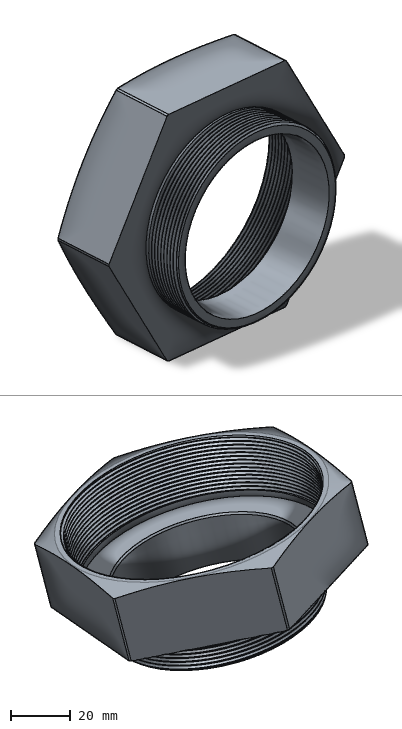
import cadquery as cq
import math

across_flats = 95.0
across_corners = 109.2
head_length = 27.1
total_length = 42.0
corner_chamfer_length = 2.2
chamfer_start_radius = 47.3

bore_radius = 66.8 / 2
bore_chamfer = 0.7
socket_depth = 23.3
socket_plain_radius = 88.0 / 2
socket_minor_radius = 44.5
socket_plain_length = 2.3

pitch = 1.5
thread_depth = 0.9
mouth_clearance = 0.05
crest_flat = 0.16
root_flat = 0.2
spigot_radius = 75.0 / 2
collar_length = 0.1
socket_major_radius = socket_minor_radius + thread_depth
socket_mouth_radius = socket_major_radius + mouth_clearance
socket_thread_length = socket_depth - socket_plain_length
spigot_chamfer = 1.0

socket_wall_outer_radius = 46.4
spigot_wall_inner_radius = 35.0

overshoot = 0.1


def revolve_about_x(points):
    """Revolve a closed (x, radius) outline about the X axis."""
    return cq.Workplane("XY").polyline(points).close().revolve(360, (0, 0, 0), (1, 0, 0))


def make_head():
    """Hexagon with lightly turned corners and a conical chamfer on the open face."""
    hexagon_diameter = across_flats / math.cos(math.pi / 6)
    hexagon = cq.Workplane("YZ").polygon(6, hexagon_diameter).extrude(head_length)
    turned_envelope = revolve_about_x([
        (0, 0),
        (0, chamfer_start_radius),
        (corner_chamfer_length, across_corners / 2),
        (head_length, across_corners / 2),
        (head_length, 0),
    ])
    return hexagon.intersect(turned_envelope)


def make_thread_groove(crest_radius, root_radius, start, length):
    """Helical V groove narrowing from the crest radius to the root radius."""
    outward = math.copysign(1, crest_radius - root_radius)
    half_mouth = (pitch - crest_flat) / 2
    half_root = root_flat / 2
    flank_slope = (half_mouth - half_root) / thread_depth
    half_opening = half_mouth + flank_slope * overshoot
    opening_radius = crest_radius + outward * overshoot
    helix = cq.Wire.makeHelix(pitch, length, root_radius)
    groove = (
        cq.Workplane("XZ")
        .polyline([
            (root_radius, -half_root),
            (opening_radius, -half_opening),
            (opening_radius, half_opening),
            (root_radius, half_root),
        ])
        .close()
        .sweep(cq.Workplane(obj=helix), isFrenet=True)
    )
    return groove.rotate((0, 0, 0), (0, 1, 0), 90).translate((start, 0, 0))


def make_tube(outer_radius, inner_radius, start, end):
    """Plain tube along X between two stations."""
    return (
        cq.Workplane("YZ", origin=(start, 0, 0))
        .circle(outer_radius)
        .circle(inner_radius)
        .extrude(end - start)
    )


def make_spigot():
    """Threaded wall of the spigot, chamfered at its free end."""
    thread_start = head_length + collar_length + pitch / 2
    thread_end = total_length + pitch
    blank = make_tube(spigot_radius, spigot_wall_inner_radius, head_length, thread_end + pitch)
    groove = make_thread_groove(
        spigot_radius, spigot_radius - thread_depth, thread_start, thread_end - thread_start
    )
    envelope = revolve_about_x([
        (head_length, 0),
        (head_length, spigot_radius + overshoot),
        (total_length - spigot_chamfer - overshoot, spigot_radius + overshoot),
        (total_length, spigot_radius - spigot_chamfer),
        (total_length, 0),
    ])
    return blank.cut(groove).intersect(envelope)


def make_socket_wall():
    """Threaded wall of the socket, with its entry chamfer, ending at the narrower plain band."""
    margin = 3 * pitch
    blank = make_tube(
        socket_wall_outer_radius, socket_minor_radius, -margin, socket_thread_length + margin
    )
    groove = make_thread_groove(
        socket_minor_radius,
        socket_major_radius,
        pitch - margin,
        socket_thread_length + 2 * (margin - pitch),
    )
    entry_chamfer = socket_mouth_radius - socket_minor_radius
    envelope = revolve_about_x([
        (0, socket_wall_outer_radius + overshoot),
        (0, socket_mouth_radius),
        (entry_chamfer + overshoot, socket_minor_radius - overshoot),
        (socket_thread_length, socket_minor_radius - overshoot),
        (socket_thread_length, socket_wall_outer_radius + overshoot),
    ])
    return blank.cut(groove).intersect(envelope)


def make_body():
    """Head and bore lining, hollowed to receive the two threaded walls."""
    lining = make_tube(spigot_wall_inner_radius, bore_radius, head_length, total_length)
    hollow = revolve_about_x([
        (0, 0),
        (0, socket_wall_outer_radius),
        (socket_thread_length, socket_wall_outer_radius),
        (socket_thread_length, socket_plain_radius),
        (socket_depth, socket_plain_radius),
        (socket_depth, bore_radius + bore_chamfer),
        (socket_depth + bore_chamfer, bore_radius),
        (head_length, bore_radius),
        (head_length, 0),
    ])
    return make_head().cut(hollow).union(lining)


result = make_body().union(make_socket_wall()).union(make_spigot())